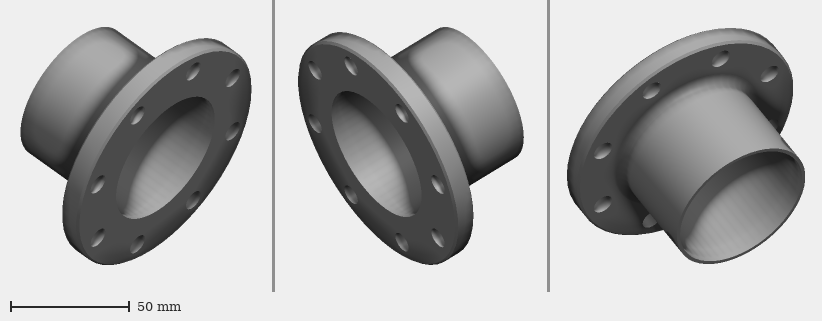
import cadquery as cq

flange_diameter = 107.0
flange_thickness = 10.0
total_length = 54.0
pipe_diameter = 63.5
bore_diameter = 60.2
neck_fillet = 4.0
rim_chamfer = 1.0

hole_count = 8
hole_diameter = 9.0
bolt_circle_diameter = 89.0
hole_pitch_angle = 360.0 / hole_count

flange_back_x = total_length - flange_thickness


def flange_with_pipe():
    """Chamfered flange disc blended into the pipe by a concave fillet."""
    flange = (
        cq.Workplane("YZ", origin=(flange_back_x, 0, 0))
        .circle(flange_diameter / 2)
        .extrude(flange_thickness)
        .edges()
        .chamfer(rim_chamfer)
    )
    pipe = cq.Workplane("YZ").circle(pipe_diameter / 2).extrude(total_length)
    point_on_flange_face = (flange_back_x, 0, bolt_circle_diameter / 2)
    return (
        flange.union(pipe)
        .faces(cq.selectors.NearestToPointSelector(point_on_flange_face))
        .edges(cq.selectors.RadiusNthSelector(0))
        .fillet(neck_fillet)
    )


def bore():
    """Straight passage through the full length."""
    return cq.Workplane("YZ").circle(bore_diameter / 2).extrude(total_length)


def bolt_holes():
    """Through holes, offset half a pitch from the Y and Z axes."""
    return (
        cq.Workplane("YZ", origin=(flange_back_x, 0, 0))
        .polarArray(bolt_circle_diameter / 2, hole_pitch_angle / 2, 360, hole_count)
        .circle(hole_diameter / 2)
        .extrude(flange_thickness)
    )


result = flange_with_pipe().cut(bore()).cut(bolt_holes())